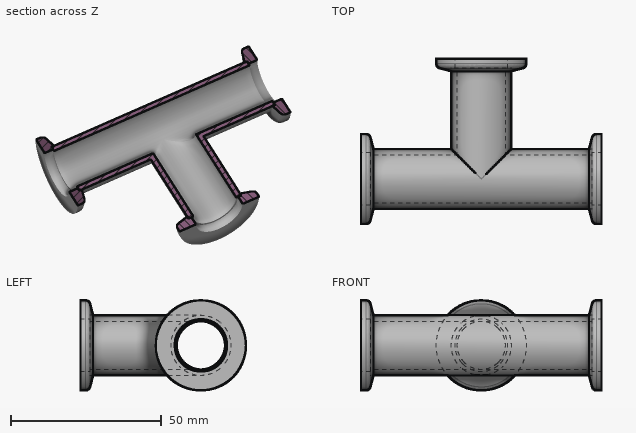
import cadquery as cq
import math

overall_length = 80.0
half_length = overall_length / 2
tube_radius = 10.0
tube_bore_radius = 8.0
flange_radius = 15.0
flange_bore_radius = 8.7
flange_thickness = 4.2
socket_depth = 3.2
cone_angle = 15.0
rim_fillet = 1.6

tube_reach = half_length - socket_depth

left = cq.Vector(-1, 0, 0)
right = cq.Vector(1, 0, 0)
branch = cq.Vector(0, 1, 0)


def make_tee_shape(radius):
    """Solid run along X joined to a solid branch along +Y."""
    run = cq.Solid.makeCylinder(radius, 2 * tube_reach, left * tube_reach, right)
    side = cq.Solid.makeCylinder(radius, tube_reach, cq.Vector(0, 0, 0), branch)
    return cq.Workplane(run).union(cq.Workplane(side))


def make_tube():
    return make_tee_shape(tube_radius).cut(make_tee_shape(tube_bore_radius))


def make_flange():
    """Turned flange with its face at the origin, facing +Z, and a conical back."""
    cone_height = (flange_radius - tube_radius) * math.tan(math.radians(cone_angle))
    rim_height = flange_thickness - cone_height
    blank = (
        cq.Workplane("XZ")
        .moveTo(flange_bore_radius, 0)
        .lineTo(flange_radius, 0)
        .lineTo(flange_radius, -rim_height)
        .lineTo(tube_radius, -flange_thickness)
        .lineTo(tube_radius, -socket_depth)
        .lineTo(flange_bore_radius, -socket_depth)
        .close()
        .revolve(360, (0, 0), (0, 1))
    )
    back_rim = blank.faces("%CONE").edges(cq.selectors.RadiusNthSelector(-1))
    return back_rim.fillet(rim_fillet).val()


def place_flange(direction):
    """Flange facing out along the given direction at an open end of the tee."""
    end_plane = cq.Plane(origin=direction * half_length, xDir=(0, 0, 1), normal=direction)
    return make_flange().located(cq.Location(end_plane))


tube = make_tube()
flanges = [place_flange(direction) for direction in (left, right, branch)]

result = cq.Compound.makeCompound([tube.val(), *flanges])